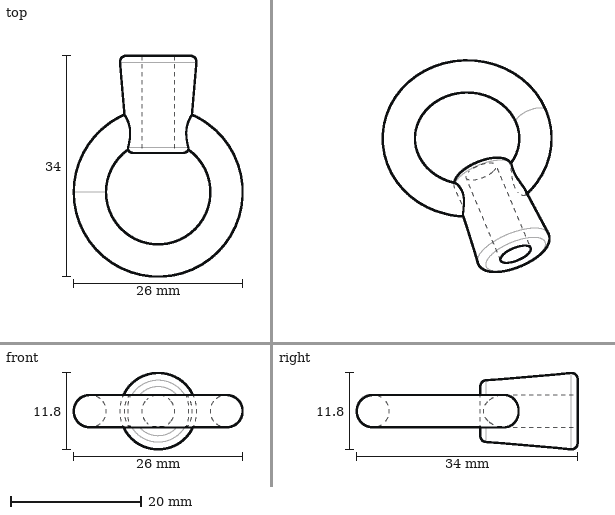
import cadquery as cq

total_length = 34.0
ring_outer_diameter = 26.0
ring_bar_diameter = 5.0
ring_centre_radius = (ring_outer_diameter - ring_bar_diameter) / 2

boss_length = 15.0
boss_back_y = total_length - ring_outer_diameter / 2
boss_front_y = boss_back_y - boss_length
back_radius = 6.0
front_radius = 4.7
edge_fillet = 1.0

bore_diameter = 5.0


def make_ring():
    bar = cq.Workplane("XZ").center(-ring_centre_radius, 0).circle(ring_bar_diameter / 2)
    return bar.revolve(360, (ring_centre_radius, 0), (ring_centre_radius, 1))


def make_boss():
    profile = (
        cq.Workplane("XY")
        .moveTo(0, boss_front_y)
        .lineTo(front_radius, boss_front_y)
        .lineTo(back_radius, boss_back_y)
        .lineTo(0, boss_back_y)
        .close()
    )
    boss = profile.revolve(360, (0, 0), (0, 1))
    return boss.faces("<Y or >Y").edges().fillet(edge_fillet)


def make_bore():
    back_plane = cq.Workplane("XZ", origin=(0, boss_back_y, 0))
    return back_plane.circle(bore_diameter / 2).extrude(boss_length)


result = make_ring().union(make_boss()).cut(make_bore())